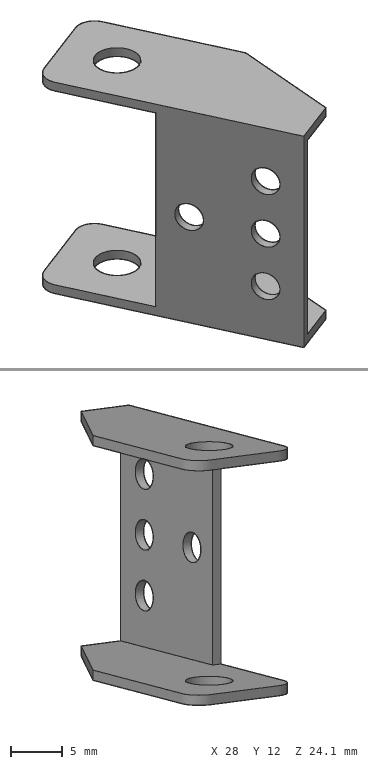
import cadquery as cq
import math

length = 28.0
depth = 12.0
height = 24.15
thickness = 1.0

corner_radius = 2.0
taper_start_x = 17.0
taper_angle = 30.0
taper_drop = (length - taper_start_x) * math.tan(math.radians(taper_angle))

web_start_x = 12.5
pivot_hole_diameter = 4.6
pivot_hole_x = 6.0
mount_hole_diameter = 3.0
mount_hole_pitch = 6.0
single_hole_x = 16.0
row_hole_x = 24.0


def make_flange(bottom_z):
    """Horizontal plate with rounded free corners, a tapered back and a pivot hole."""
    outline = [
        (0, 0),
        (length, 0),
        (length, depth - taper_drop),
        (taper_start_x, depth),
        (0, depth),
    ]
    plate = cq.Workplane("XY").polyline(outline).close().extrude(thickness)
    plate = plate.edges("|Z and <X").fillet(corner_radius)
    pivot_hole = (
        cq.Workplane("XY")
        .center(pivot_hole_x, depth / 2)
        .circle(pivot_hole_diameter / 2)
        .extrude(thickness)
    )
    return plate.cut(pivot_hole).translate((0, 0, bottom_z))


def make_web():
    """Vertical plate along the front that joins the two flanges."""
    return cq.Workplane("XY").box(
        length - web_start_x, thickness, height, centered=False
    ).translate((web_start_x, 0, 0))


def make_mount_holes():
    """Cutters for the single hole and the row of three holes through the web."""
    middle_z = height / 2
    centres = [(single_hole_x, middle_z)]
    for step in (-1, 0, 1):
        centres.append((row_hole_x, middle_z + step * mount_hole_pitch))
    return (
        cq.Workplane("XZ")
        .pushPoints(centres)
        .circle(mount_hole_diameter / 2)
        .extrude(-thickness)
    )


bracket = make_web().union(make_flange(0)).union(make_flange(height - thickness))
result = bracket.cut(make_mount_holes())